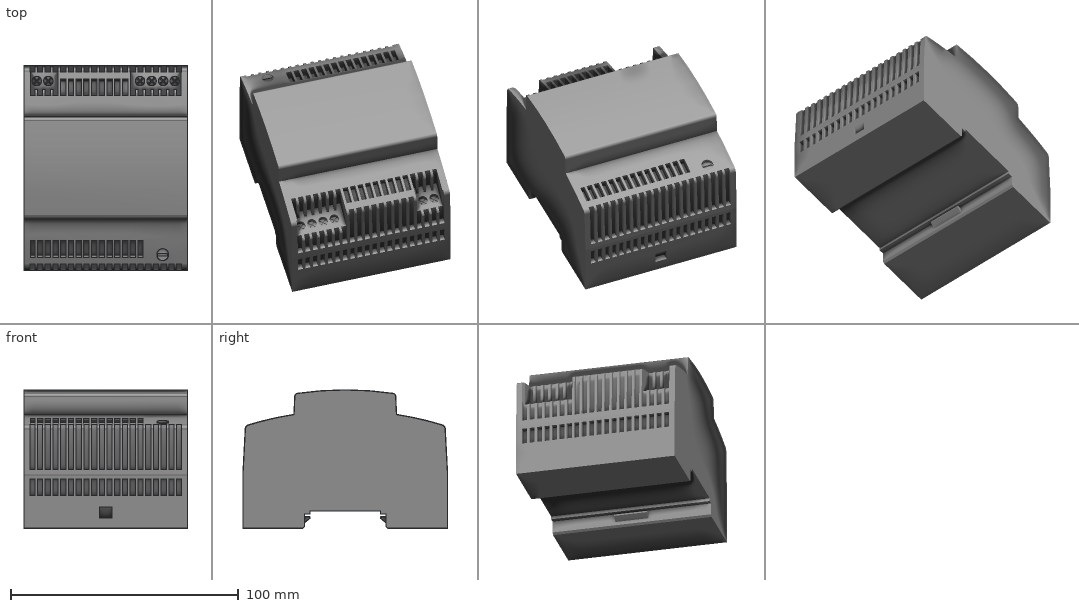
import cadquery as cq
import math

width = 72.0
depth = 90.0
height = 60.83
half_width = width / 2
half_depth = depth / 2

crown_radius = 145.0
shoulder_apex = 51.8
tower_base_half = 22.55
tower_top_half = 22.15
base_wall_height = 23.4
shoulder_edge_half = 43.85
tower_edge_radius = 1.5
shoulder_edge_radius = 2.0

rail_half = 17.8
rail_depth = 6.2
rail_inner_half = 15.4
rail_inner_depth = 7.6
rail_lead_in = 0.9
hook_width = 15.0
hook_reach = 2.3
hook_bottom = 2.5
hook_tip_bottom = 4.4
hook_tip_top = 4.9
hook_top = 5.2

slot_count = 20
slot_pitch = 3.39
slot_width = 2.3
slot_depth = 2.8
upper_slot_bottom = 25.8
lower_slot_bottom = 14.5
lower_slot_top = 21.7

vent_width = 2.4
vent_near = 31.9
vent_far = 39.2
vent_depth = 3.8
front_vents = range(0, 15)
rear_vents = range(4, 13)

bay_outer = 33.0
left_bay = (-bay_outer, -20.9)
right_bay = (10.8, bay_outer)
bay_floor_height = 36.0
bay_floor_tilt = math.radians(18.0)
bay_rib_end = 34.6
bay_round_start = 43.4
bay_edge_radius = 2.0
bay_rib_radius = 2.6
terminal_pitch = 5.08
terminal_last_x = 30.3
terminal_y = 38.2
left_terminals = [-terminal_last_x + i * terminal_pitch for i in range(2)]
right_terminals = [terminal_last_x - i * terminal_pitch for i in range(4)]
terminal_screw_radius = 2.05
terminal_screw_recess = 0.5
cross_slot_width = 0.5
cross_slot_depth = 0.4

adjuster_x = 25.0
adjuster_y = -38.0
adjuster_radius = 2.6
adjuster_floor = 45.85
adjuster_slot_length = 4.4
adjuster_slot_width = 1.1
adjuster_slot_depth = 0.6
window_width = 5.4
window_bottom = 4.6
window_top = 9.4
window_depth = 3.0


def arc_height(apex, y):
    """Height at y of a crown arc whose highest point is at (0, apex)."""
    return apex - crown_radius + math.sqrt(crown_radius ** 2 - y ** 2)


def shoulder_tilt(y):
    """Rotation about X, in degrees, that lays a feature on the shoulder at y."""
    return -math.degrees(math.asin(y / crown_radius))


def bay_floor(y):
    return bay_floor_height - (y - terminal_y) * math.tan(bay_floor_tilt)


def slot_x(index):
    """Centre of a slot on the shared grid."""
    return (index - (slot_count - 1) / 2) * slot_pitch


def block(x_range, y_range, z_range):
    """Axis aligned box from three (low, high) pairs."""
    (x0, x1), (y0, y1), (z0, z1) = x_range, y_range, z_range
    return cq.Workplane("XY").box(x1 - x0, y1 - y0, z1 - z0, centered=False).translate((x0, y0, z0))


def centred(middle, size):
    return (middle - size / 2, middle + size / 2)


def prism_along_x(points, x_range):
    """Polygon given as (y, z) points, extruded between two X stations."""
    sketch = cq.Workplane("YZ", origin=(x_range[0], 0, 0)).polyline(points).close()
    return sketch.extrude(x_range[1] - x_range[0])


def both_ends(feature):
    """A front feature together with its mirror image at the rear."""
    return feature.add(feature.mirror("XZ"))


def make_housing():
    """Full-width body: base, leaning end walls, crowned shoulders and tower."""
    shoulder_edge_z = arc_height(shoulder_apex, shoulder_edge_half)
    tower_base_z = arc_height(shoulder_apex, tower_base_half)
    tower_top_z = arc_height(height, tower_top_half)
    shoulder_mid = (shoulder_edge_half + tower_base_half) / 2
    shoulder_mid_z = arc_height(shoulder_apex, shoulder_mid)

    profile = (
        cq.Workplane("YZ", origin=(-half_width, 0, 0))
        .moveTo(-half_depth, 0)
        .lineTo(-half_depth, base_wall_height)
        .lineTo(-shoulder_edge_half, shoulder_edge_z)
        .threePointArc((-shoulder_mid, shoulder_mid_z), (-tower_base_half, tower_base_z))
        .lineTo(-tower_top_half, tower_top_z)
        .threePointArc((0, height), (tower_top_half, tower_top_z))
        .lineTo(tower_base_half, tower_base_z)
        .threePointArc((shoulder_mid, shoulder_mid_z), (shoulder_edge_half, shoulder_edge_z))
        .lineTo(half_depth, base_wall_height)
        .lineTo(half_depth, 0)
        .close()
    )
    housing = profile.extrude(width)
    for half, z, radius in (
        (tower_top_half, tower_top_z, tower_edge_radius),
        (shoulder_edge_half, shoulder_edge_z, shoulder_edge_radius),
    ):
        for y in (-half, half):
            edge = cq.selectors.NearestToPointSelector((0, y, z))
            housing = housing.edges("|X").edges(edge).fillet(radius)
    return housing


def make_rail_slot():
    """Stepped slot with lead-in chamfers at its mouth."""
    mouth_half = rail_half + rail_lead_in
    points = [
        (mouth_half, 0),
        (rail_half, rail_lead_in),
        (rail_half, rail_depth),
        (rail_inner_half, rail_depth),
        (rail_inner_half, rail_inner_depth),
    ]
    mirrored = [(-y, z) for y, z in reversed(points)]
    return prism_along_x(points + mirrored, (-half_width, half_width))


def make_rail_hooks():
    """Catches that reach into the rail slot from both of its walls."""
    tip = rail_half - hook_reach
    points = [
        (-rail_half, hook_bottom),
        (-tip, hook_tip_bottom),
        (-tip, hook_tip_top),
        (-tip - (hook_top - hook_tip_top), hook_top),
        (-rail_half, hook_top),
    ]
    return both_ends(prism_along_x(points, centred(0, hook_width)))


def cut_wall_slots(body):
    """Two rows of vertical slots in the end walls; the upper row opens through the shoulder."""
    y_range = (-half_depth, -half_depth + slot_depth)
    for index in range(slot_count):
        x_range = centred(slot_x(index), slot_width)
        upper = block(x_range, y_range, (upper_slot_bottom, shoulder_apex))
        lower = block(x_range, y_range, (lower_slot_bottom, lower_slot_top))
        body = body.cut(both_ends(upper)).cut(both_ends(lower))
    return body


def make_vents(indices, side):
    """Row of pockets square to the shoulder; side is -1 for the front, 1 for the rear."""
    y = side * (vent_near + vent_far) / 2
    tilt = shoulder_tilt(y)
    length = (vent_far - vent_near) / math.cos(math.radians(tilt))
    vents = cq.Workplane("XY")
    for index in indices:
        pocket = cq.Workplane("XY").box(vent_width, length, 2 * vent_depth)
        pocket = pocket.rotate((0, 0, 0), (1, 0, 0), tilt)
        vents = vents.add(pocket.translate((slot_x(index), y, arc_height(shoulder_apex, y))))
    limit = block((-bay_outer, bay_outer), (-half_depth, half_depth), (0, height))
    return vents.combine().intersect(limit)


def make_bay_rib(x_range):
    """Rib flush with the shoulder, rounded where it ends inside the bay."""
    end_z = arc_height(shoulder_apex, bay_rib_end)
    points = [
        (vent_near, 0),
        (bay_rib_end, 0),
        (bay_rib_end, end_z),
        (vent_near, arc_height(shoulder_apex, vent_near)),
    ]
    rib = prism_along_x(points, x_range)
    x_mid = (x_range[0] + x_range[1]) / 2
    end_edge = cq.selectors.NearestToPointSelector((x_mid, bay_rib_end, end_z))
    return rib.edges(end_edge).fillet(bay_rib_radius)


def make_bay(x_range):
    """Terminal bay, open to the rear, keeping ribs between the slots at its inner end."""
    round_end_z = bay_floor(bay_round_start) - bay_edge_radius
    wall_lean = (half_depth - shoulder_edge_half) / (
        arc_height(shoulder_apex, shoulder_edge_half) - base_wall_height
    )
    wall_y = half_depth - wall_lean * (round_end_z - base_wall_height)
    bay = (
        cq.Workplane("YZ", origin=(x_range[0], 0, 0))
        .moveTo(vent_near, bay_floor(vent_near))
        .lineTo(bay_round_start, bay_floor(bay_round_start))
        .tangentArcPoint((wall_y, round_end_z), relative=False)
        .lineTo(half_depth, round_end_z)
        .lineTo(half_depth, height)
        .lineTo(vent_near, height)
        .close()
        .extrude(x_range[1] - x_range[0])
    )
    for index in range(slot_count - 1):
        gap_middle = (slot_x(index) + slot_x(index + 1)) / 2
        rib_x = centred(gap_middle, slot_pitch - slot_width)
        if x_range[0] < rib_x[0] and rib_x[1] < x_range[1]:
            bay = bay.cut(make_bay_rib(rib_x))
    return bay


def make_terminal_screw(x):
    """Flat-bottomed recess with a diagonal cross slot in its floor."""
    floor = bay_floor(terminal_y + terminal_screw_radius) - terminal_screw_recess
    recess = (
        cq.Workplane("XY", origin=(x, terminal_y, floor))
        .circle(terminal_screw_radius)
        .extrude(shoulder_apex - floor)
    )
    for angle in (45, 135):
        slot = (
            cq.Workplane("XY", origin=(x, terminal_y, floor - cross_slot_depth))
            .transformed(rotate=(0, 0, angle))
            .rect(2 * terminal_screw_radius, cross_slot_width)
            .extrude(2 * cross_slot_depth)
        )
        recess = recess.union(slot)
    return recess


def make_adjuster():
    """Level, slotted screw head sunk into the sloping front shoulder."""
    recess = (
        cq.Workplane("XY", origin=(adjuster_x, adjuster_y, adjuster_floor))
        .circle(adjuster_radius)
        .extrude(shoulder_apex - adjuster_floor)
    )
    slot = block(
        centred(adjuster_x, adjuster_slot_length),
        centred(adjuster_y, adjuster_slot_width),
        (adjuster_floor - adjuster_slot_depth, adjuster_floor),
    )
    return recess.union(slot)


def make_clip_window():
    """Wedge-shaped pocket: level floor, back sloping from the top edge inward."""
    points = [
        (-half_depth, window_bottom),
        (-half_depth, window_top),
        (-half_depth + window_depth, window_bottom),
    ]
    return prism_along_x(points, centred(0, window_width))


result = make_housing()
result = result.cut(make_rail_slot()).union(make_rail_hooks())
result = cut_wall_slots(result)
result = result.cut(make_vents(front_vents, -1)).cut(make_vents(rear_vents, 1))
for bay_x_range in (left_bay, right_bay):
    result = result.cut(make_bay(bay_x_range))
for column_x in left_terminals + right_terminals:
    result = result.cut(make_terminal_screw(column_x))
result = result.cut(make_adjuster()).cut(make_clip_window())